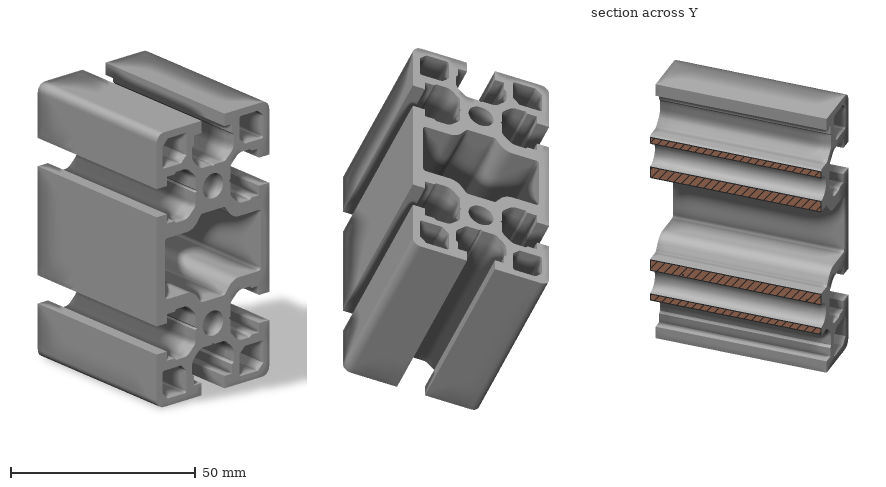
import cadquery as cq
import math

LENGTH = 50.0
CELL = 40.0
HALF_CELL = CELL / 2
PROFILE_HEIGHT = 2 * CELL
CORNER_RADIUS = 2.5
BORE_DIAMETER = 7.3

SLOT_MOUTH_HALF = 4.1
LIP_UNDERSIDE = 16.4
LIP_RELIEF_HALF = 6.8
RELIEF_END = 13.7
SLOT_HALF = 7.4
RELIEF_CHAMFER = SLOT_HALF - LIP_RELIEF_HALF
SLOT_FLOOR = 6.15
SLOT_FLOOR_HALF = 4.35
SLOT_SHOULDER = SLOT_FLOOR + SLOT_HALF - SLOT_FLOOR_HALF
SLOT_FLOOR_RADIUS = 2.0
SLOT_SHOULDER_RADIUS = 3.0
NOTCH_HALF = 0.45
NOTCH_DEPTH = 0.45

CHAMBER_INNER = 9.45
CHAMBER_OUTER = 17.9
CHAMBER_CHAMFER = 1.9
CHAMBER_RADIUS = 0.6

CAVITY_HALF_WIDTH = 17.0
CAVITY_SIDE_HALF_HEIGHT = 8.9
CAVITY_MIDDLE_HALF_HEIGHT = 12.9
CAVITY_CREST_HALF_WIDTH = 4.15
CAVITY_FLANK_ANGLE = 54.0
CAVITY_FOOT_HALF_WIDTH = CAVITY_CREST_HALF_WIDTH + (
    CAVITY_MIDDLE_HALF_HEIGHT - CAVITY_SIDE_HALF_HEIGHT
) / math.tan(math.radians(CAVITY_FLANK_ANGLE))
CAVITY_CORNER_RADIUS = 0.9
CAVITY_FOOT_RADIUS = 4.5


def prism(points):
    """Extrude a closed (Y, Z) outline over the full length, centered on X."""
    return cq.Workplane("YZ").polyline(points).close().extrude(LENGTH / 2, both=True)


def round_edges(body, points, radius):
    """Fillet the lengthwise edges that pass through the given (Y, Z) points."""
    for y, z in points:
        edge = cq.selectors.NearestToPointSelector((0, y, z))
        body = body.edges("|X").edges(edge).fillet(radius)
    return body


def mirrored(points):
    """Return the points together with their reflections about the Z axis."""
    return points + [(-y, z) for y, z in reversed(points)]


def all_quadrants(point):
    """Return the point and its reflections about both section axes."""
    y, z = point
    return [(y, z), (-y, z), (-y, -z), (y, -z)]


def make_blank():
    blank = cq.Workplane("XY").box(LENGTH, CELL, PROFILE_HEIGHT)
    return blank.edges("|X").fillet(CORNER_RADIUS)


def make_slot():
    """T-slot cutter opening toward +Z of a cell centered on the origin."""
    floor_corner = (SLOT_FLOOR_HALF, SLOT_FLOOR)
    shoulder = (SLOT_HALF, SLOT_SHOULDER)
    half_outline = [
        (NOTCH_HALF, SLOT_FLOOR),
        floor_corner,
        shoulder,
        (SLOT_HALF, RELIEF_END - RELIEF_CHAMFER),
        (LIP_RELIEF_HALF, RELIEF_END),
        (LIP_RELIEF_HALF, LIP_UNDERSIDE),
        (SLOT_MOUTH_HALF, LIP_UNDERSIDE),
        (SLOT_MOUTH_HALF, HALF_CELL),
    ]
    notch_tip = (0, SLOT_FLOOR - NOTCH_DEPTH)
    slot = prism([notch_tip] + mirrored(half_outline))
    slot = round_edges(slot, mirrored([floor_corner]), SLOT_FLOOR_RADIUS)
    return round_edges(slot, mirrored([shoulder]), SLOT_SHOULDER_RADIUS)


def make_corner_chamber():
    """Hollow in the +Y +Z corner of a cell centered on the origin."""
    square_corners = [(CHAMBER_OUTER, CHAMBER_INNER), (CHAMBER_INNER, CHAMBER_OUTER)]
    chamber = prism([
        (CHAMBER_INNER + CHAMBER_CHAMFER, CHAMBER_INNER),
        square_corners[0],
        (CHAMBER_OUTER, CHAMBER_OUTER - CHAMBER_CHAMFER),
        (CHAMBER_OUTER - CHAMBER_CHAMFER, CHAMBER_OUTER),
        square_corners[1],
        (CHAMBER_INNER, CHAMBER_INNER + CHAMBER_CHAMFER),
    ])
    return round_edges(chamber, square_corners, CHAMBER_RADIUS)


def make_bore():
    return cq.Workplane("YZ").circle(BORE_DIAMETER / 2).extrude(LENGTH / 2, both=True)


def make_cell_cutter():
    """Everything removed from the upper cell, centered on the origin."""
    cutter = make_bore()
    slot = make_slot()
    for angle in (-90, 0, 90):
        cutter = cutter.union(slot.rotate((0, 0, 0), (1, 0, 0), angle))
    chamber = make_corner_chamber()
    return cutter.union(chamber).union(chamber.mirror("XZ"))


def make_cavity():
    corner = (CAVITY_HALF_WIDTH, CAVITY_SIDE_HALF_HEIGHT)
    foot = (CAVITY_FOOT_HALF_WIDTH, CAVITY_SIDE_HALF_HEIGHT)
    crest = (CAVITY_CREST_HALF_WIDTH, CAVITY_MIDDLE_HALF_HEIGHT)
    upper = mirrored([corner, foot, crest])
    lower = [(-y, -z) for y, z in upper]
    cavity = prism(upper + lower)
    cavity = round_edges(cavity, all_quadrants(corner), CAVITY_CORNER_RADIUS)
    cavity = round_edges(cavity, all_quadrants(crest), CAVITY_CORNER_RADIUS)
    return round_edges(cavity, all_quadrants(foot), CAVITY_FOOT_RADIUS)


upper_cutter = make_cell_cutter().translate((0, 0, HALF_CELL))
result = (
    make_blank()
    .cut(upper_cutter)
    .cut(upper_cutter.mirror("XY"))
    .cut(make_cavity())
)